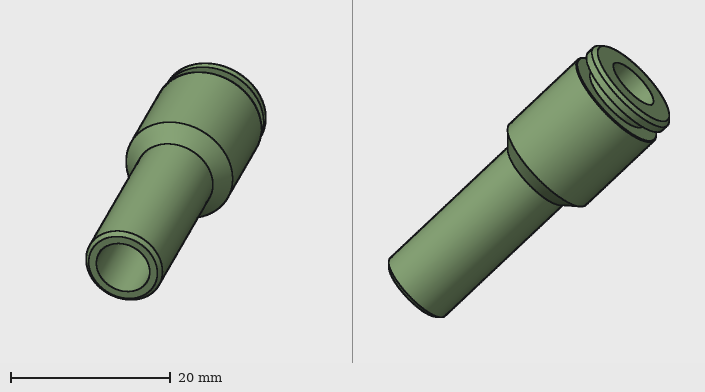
import cadquery as cq
import math

total_length = 39.5
stem_length = 22.0
cone_length = 2.0
body_length = 12.5
collar_length = 1.5

stem_diameter = 10.05
body_diameter = 14.0
neck_diameter = 9.4
collar_diameter = 13.5
bore_diameter = 7.0

stem_chamfer = 0.5
body_chamfer = 0.1
collar_chamfer = 0.5
neck_fillet = 0.28

stem_end = -total_length / 2
cone_start = stem_end + stem_length
body_start = cone_start + cone_length
body_end = body_start + body_length
collar_end = total_length / 2
collar_start = collar_end - collar_length

stem_radius = stem_diameter / 2
body_radius = body_diameter / 2
neck_radius = neck_diameter / 2
collar_radius = collar_diameter / 2
bore_radius = bore_diameter / 2

fillet_sagitta = neck_fillet * (1 - math.sqrt(0.5))
fillet_middle = (neck_radius + fillet_sagitta, collar_start - fillet_sagitta)

half_section = (
    cq.Workplane("XY")
    .moveTo(bore_radius, stem_end)
    .lineTo(stem_radius - stem_chamfer, stem_end)
    .lineTo(stem_radius, stem_end + stem_chamfer)
    .lineTo(stem_radius, cone_start)
    .lineTo(body_radius, body_start)
    .lineTo(body_radius, body_end - body_chamfer)
    .lineTo(body_radius - body_chamfer, body_end)
    .lineTo(neck_radius, body_end)
    .lineTo(neck_radius, collar_start - neck_fillet)
    .threePointArc(fillet_middle, (neck_radius + neck_fillet, collar_start))
    .lineTo(collar_radius, collar_start)
    .lineTo(collar_radius, collar_end - collar_chamfer)
    .lineTo(collar_radius - collar_chamfer, collar_end)
    .lineTo(bore_radius, collar_end)
    .close()
)

result = half_section.revolve(360, (0, 0, 0), (0, 1, 0))